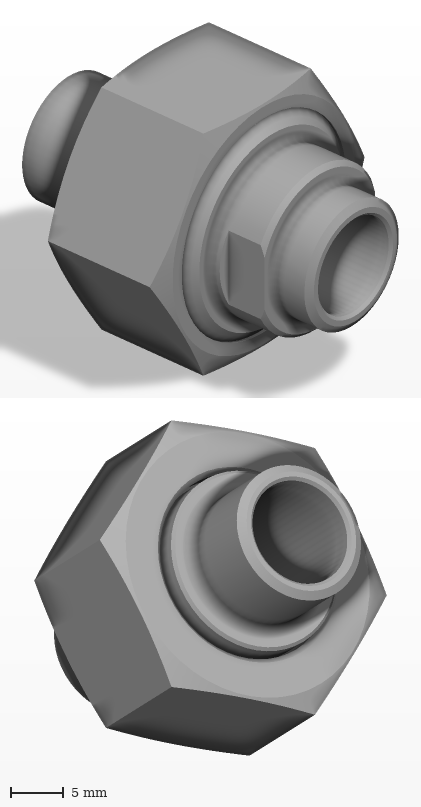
import cadquery as cq
import math


collar_start = 9.0
nut_start = 10.5
nut_length = 14.5
nut_end = nut_start + nut_length
seat_start = 13.0
joint_place = 17.5
flange_face = 26.0
neck_end = 32.0
union_length = 36.5

tail_radius = 13.5 / 2
socket_radius = 13.7 / 2
bore_radius = 10.3 / 2
bevel_length = 0.5
bevel_depth = 0.8
bore_chamfer = 0.3

collar_radius = 18.0 / 2
collar_chamfer = 0.3
tail_fillet = 1.0
tail_flange_radius = 22.0 / 2

hex_across_flats = 27.0
hex_across_corners = hex_across_flats / math.cos(math.radians(30))
nut_face_radius = 13.25
nut_chamfer_angle = 20.0
nut_bore_radius = 18.5 / 2
nut_bore_chamfer = 0.5
nut_recess_radius = 22.38 / 2

thread_radius = 23.85 / 2
thread_face_radius = 10.55
neck_radius = 18.0 / 2
neck_chamfer = 0.5
neck_fillet = 0.75
wrench_across_flats = 16.0
wrench_flat_start = 27.5
wrench_runout_angle = 15.0


def revolve_about_x(profile):
    return profile.close().revolve(360, (0, 0, 0), (1, 0, 0))


def concave_fillet(profile, start, end, axial_first):
    """Add a quarter-circle root fillet; axial_first tells if it leaves a cylinder or a face."""
    arc_share = math.sqrt(0.5)
    dx = end[0] - start[0]
    dr = end[1] - start[1]
    if axial_first:
        middle = (start[0] + dx * arc_share, start[1] + dr * (1 - arc_share))
    else:
        middle = (start[0] + dx * (1 - arc_share), start[1] + dr * arc_share)
    return profile.threePointArc(middle, end)


def make_tailpiece():
    """Weld end, guide collar and a coned flange that the nut pulls on."""
    fillet_start = (collar_start - tail_fillet, tail_radius)
    fillet_end = (collar_start, tail_radius + tail_fillet)
    cone_start = seat_start - (nut_bore_radius - collar_radius)
    cone_end = cone_start + tail_flange_radius - collar_radius
    profile = (
        cq.Workplane("XY")
        .moveTo(bore_chamfer, bore_radius)
        .lineTo(0, bore_radius + bore_chamfer)
        .lineTo(0, tail_radius - bevel_depth)
        .lineTo(bevel_length, tail_radius)
        .lineTo(*fillet_start)
    )
    profile = (
        concave_fillet(profile, fillet_start, fillet_end, axial_first=True)
        .lineTo(collar_start, collar_radius - collar_chamfer)
        .lineTo(collar_start + collar_chamfer, collar_radius)
        .lineTo(cone_start, collar_radius)
        .lineTo(cone_end, tail_flange_radius)
        .lineTo(joint_place, tail_flange_radius)
        .lineTo(joint_place, bore_radius)
    )
    return revolve_about_x(profile)


def make_nut():
    """Hexagon with chamfered corners, a coned seat and a bore for the screwed end."""
    hexagon = (
        cq.Workplane("YZ", origin=(nut_start, 0, 0))
        .polygon(6, hex_across_corners)
        .extrude(nut_length)
    )
    corner_radius = hex_across_corners / 2
    corner_drop = (corner_radius - nut_face_radius) * math.tan(math.radians(nut_chamfer_angle))
    chamfered_blank = revolve_about_x(
        cq.Workplane("XY")
        .moveTo(nut_start, 0)
        .lineTo(nut_start, nut_face_radius)
        .lineTo(nut_start + corner_drop, corner_radius)
        .lineTo(nut_end - corner_drop, corner_radius)
        .lineTo(nut_end, nut_face_radius)
        .lineTo(nut_end, 0)
    )
    seat_end = seat_start + nut_recess_radius - nut_bore_radius
    bore = revolve_about_x(
        cq.Workplane("XY")
        .moveTo(nut_start, 0)
        .lineTo(nut_start, nut_bore_radius + nut_bore_chamfer)
        .lineTo(nut_start + nut_bore_chamfer, nut_bore_radius)
        .lineTo(seat_start, nut_bore_radius)
        .lineTo(seat_end, nut_recess_radius)
        .lineTo(joint_place, nut_recess_radius)
        .lineTo(joint_place, thread_radius)
        .lineTo(nut_end, thread_radius)
        .lineTo(nut_end, 0)
    )
    return hexagon.intersect(chamfered_blank).cut(bore)


def make_wrench_flat_cutter():
    """Material removed beside the +Y wrench flat, with a sloping run-out wall."""
    flat_offset = wrench_across_flats / 2
    cutter_offset = thread_radius
    runout = (cutter_offset - flat_offset) * math.tan(math.radians(wrench_runout_angle))
    return (
        cq.Workplane("XY")
        .moveTo(wrench_flat_start, flat_offset)
        .lineTo(neck_end, flat_offset)
        .lineTo(neck_end, cutter_offset)
        .lineTo(wrench_flat_start - runout, cutter_offset)
        .close()
        .extrude(neck_radius, both=True)
    )


def make_screwed_end():
    """Threaded barrel inside the nut, a neck with two wrench flats, and a weld end."""
    barrel_end = flange_face - (thread_radius - thread_face_radius)
    neck_fillet_start = (flange_face, neck_radius + neck_fillet)
    neck_fillet_end = (flange_face + neck_fillet, neck_radius)
    weld_fillet_start = (neck_end, socket_radius + neck_fillet)
    weld_fillet_end = (neck_end + neck_fillet, socket_radius)
    profile = (
        cq.Workplane("XY")
        .moveTo(joint_place, bore_radius)
        .lineTo(joint_place, thread_radius)
        .lineTo(barrel_end, thread_radius)
        .lineTo(flange_face, thread_face_radius)
        .lineTo(*neck_fillet_start)
    )
    profile = (
        concave_fillet(profile, neck_fillet_start, neck_fillet_end, axial_first=False)
        .lineTo(neck_end - neck_chamfer, neck_radius)
        .lineTo(neck_end, neck_radius - neck_chamfer)
        .lineTo(*weld_fillet_start)
    )
    profile = (
        concave_fillet(profile, weld_fillet_start, weld_fillet_end, axial_first=False)
        .lineTo(union_length - bevel_length, socket_radius)
        .lineTo(union_length, socket_radius - bevel_depth)
        .lineTo(union_length, bore_radius + bore_chamfer)
        .lineTo(union_length - bore_chamfer, bore_radius)
    )
    body = revolve_about_x(profile)
    flat_cutter = make_wrench_flat_cutter()
    return body.cut(flat_cutter).cut(flat_cutter.mirror("XZ"))


tailpiece = make_tailpiece()
nut = make_nut()
screwed_end = make_screwed_end()

result = cq.Compound.makeCompound([tailpiece.val(), nut.val(), screwed_end.val()])